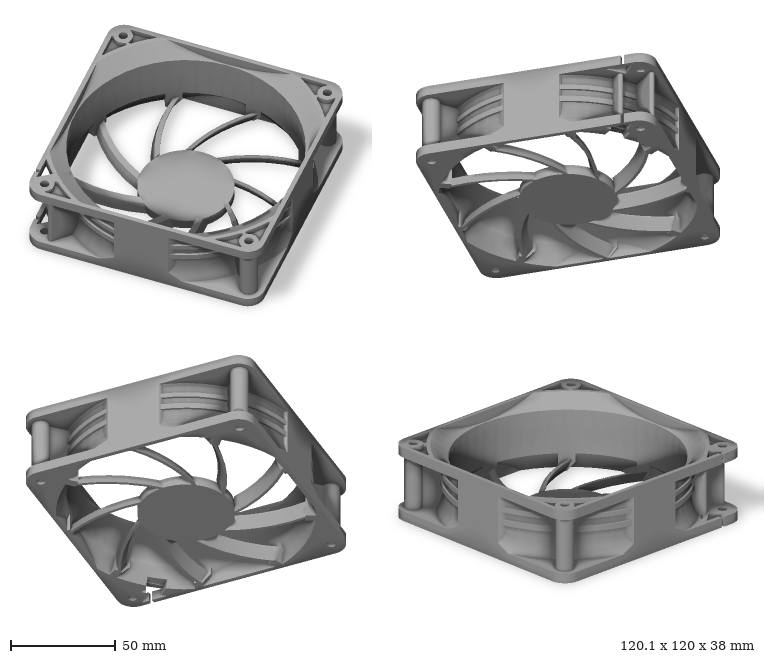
import cadquery as cq
import math

LENGTH_X = 120.1
LENGTH_Y = 120.0
HEIGHT = 38.0
FLANGE = 5.0
CORNER_RADIUS = 8.4
WINDOW_TOP = HEIGHT - FLANGE

BORE_RADIUS = 57.4
BORE_HALF_WIDTH = 57.8
INTAKE_RADIUS = 66.0
INTAKE_DEPTH = 6.0
DUCT_RADIUS = 60.0
DUCT_STEP = 1.0
FLARE_START = 16.1
FLARE_ARC = 19.2
OUTLET_EDGE = 9.2
OUTLET_RADIUS = 62.5
RIB_RADIUS = 61.3
RIB_SPANS = [(18.1, 21.0), (24.9, 27.3)]

COLUMN_HALF_WIDTH = 13.8
COLUMN_DEPTH = 3.6
FLANK_NARROW = 1.8
FLANK_WIDE = 4.7

HOLE_OFFSET = 52.5
HOLE_DIAMETER = 4.5
POST_RADIUS = 4.5
WEB_THICKNESS = 2.3
POCKET_DEPTH = 3.0
POCKET_FILLET = 0.4
POCKET_EDGE = 57.5
POCKET_ARC = 68.0
POCKET_LOW_X = 47.1
POCKET_SIDE = 48.6
HOLE_WALL = 4.7
HOLE_WALL_ANGLES = (192, 153, 114)
CABLE_WEB_THICKNESS = 2.8
CABLE_WEB_ENDS = [(-47.7, -56.6), (-50.8, -41.8)]
CABLE_TRIANGLE = [(-BORE_HALF_WIDTH, -36.8), (-51.2, -44.8), (-BORE_HALF_WIDTH, -49.6)]
CABLE_SLOT_Y = -45.5
CABLE_SLOT_WIDTH = 1.7
CABLE_LEDGE = 1.2
CABLE_RELIEF = (10.8, 9.6)
CABLE_SLIT = (1.2, 9.4)
CABLE_SLIT_RADIUS = 64.4
CABLE_RELIEF_OFFSET = 7.5
CABLE_CORNER_ANGLE = 225

HUB_RADIUS = 23.4
HUB_HEIGHT = 5.0
STRUT_COUNT = 9
STRUT_WIDTH = 4.5
STRUT_HEIGHT = 6.5
STRUT_SHOULDER = (0.5, 5.3)
STRUT_LIP = 0.7
STRUT_FOOT = 1.6
STRUT_ROOT = 1.0
STRUT_PATH = [(21.6, 153.5), (43.0, 127.5), (60.0, 115.1)]

PAD_WIDTH = 8.3
PAD_TOE_HEIGHT = 4.8
PAD_ANGLE = 116.8

CABLE_CORNER = (-1, -1)
CORNERS = [(1, 1), (-1, 1), (1, -1), (-1, -1)]


def polar(radius, degrees):
    angle = math.radians(degrees)
    return (radius * math.cos(angle), radius * math.sin(angle))


def arc_bulge(profile_radius, drop):
    """Radial growth of a flare arc, tangent to the axis, after a given drop."""
    return profile_radius - math.sqrt(profile_radius**2 - drop**2)


def outer_block():
    block = cq.Workplane("XY").box(LENGTH_X, LENGTH_Y, HEIGHT, centered=(True, True, False))
    return block.edges("|Z").fillet(CORNER_RADIUS)


def disc(radius, bottom, top):
    return cq.Workplane("XY").workplane(offset=bottom).circle(radius).extrude(top - bottom)


def round_bar(start, end, width, bottom, top):
    """Upright web with rounded ends between two plan points."""
    dx = end[0] - start[0]
    dy = end[1] - start[1]
    length = math.hypot(dx, dy)
    return (
        cq.Workplane("XY", origin=(0, 0, bottom))
        .center((start[0] + end[0]) / 2, (start[1] + end[1]) / 2)
        .slot2D(length + width, width, math.degrees(math.atan2(dy, dx)))
        .extrude(top - bottom)
    )


def duct_outside():
    mid_drop = (FLARE_START - FLANGE) / 2
    flare_mid = (DUCT_RADIUS + arc_bulge(FLARE_ARC, mid_drop), FLARE_START - mid_drop)
    flare_end = (DUCT_RADIUS + arc_bulge(FLARE_ARC, FLARE_START - FLANGE), FLANGE)
    body = (
        cq.Workplane("XZ")
        .moveTo(0, FLANGE)
        .lineTo(*flare_end)
        .threePointArc(flare_mid, (DUCT_RADIUS, FLARE_START))
        .lineTo(DUCT_RADIUS, WINDOW_TOP - DUCT_STEP)
        .lineTo(DUCT_RADIUS + DUCT_STEP, WINDOW_TOP)
        .lineTo(0, WINDOW_TOP)
        .close()
        .revolve(360, (0, 0, 0), (0, 1, 0))
    )
    for bottom, top in RIB_SPANS:
        body = body.union(disc(RIB_RADIUS, bottom, top))
    return body


def outlet_cone():
    """Flared outlet, interrupted by a solid pad behind every strut."""
    cone = (
        cq.Workplane("XZ")
        .lineTo(OUTLET_RADIUS, 0)
        .lineTo(BORE_RADIUS, OUTLET_EDGE)
        .lineTo(0, OUTLET_EDGE)
        .close()
        .revolve(360, (0, 0, 0), (0, 1, 0))
    )
    half = PAD_WIDTH / 2
    pad = (
        cq.Workplane("YZ")
        .polyline([(half, 0), (half, OUTLET_EDGE), (-half, OUTLET_EDGE), (-half, PAD_TOE_HEIGHT), (0, 0)])
        .close()
        .extrude(OUTLET_RADIUS)
    )
    for index in range(STRUT_COUNT):
        angle = PAD_ANGLE + index * 360 / STRUT_COUNT
        cone = cone.cut(pad.rotate((0, 0, 0), (0, 0, 1), angle))
    return cone


def bore():
    """Air passage: intake cone, straight throat and outlet, trimmed to a square."""
    throat = (
        cq.Workplane("XZ")
        .lineTo(BORE_RADIUS, 0)
        .lineTo(BORE_RADIUS, HEIGHT - INTAKE_DEPTH)
        .lineTo(INTAKE_RADIUS, HEIGHT)
        .lineTo(0, HEIGHT)
        .close()
        .revolve(360, (0, 0, 0), (0, 1, 0))
    )
    width = 2 * BORE_HALF_WIDTH
    square = cq.Workplane("XY").box(width, width, 2 * HEIGHT)
    return throat.union(outlet_cone()).intersect(square)


def columns():
    """Four flat columns, laid out symmetrically about the diagonal through the cable corner."""
    outer = LENGTH_X / 2
    inner = outer - COLUMN_DEPTH
    front = (
        cq.Workplane("XY")
        .polyline([
            (-COLUMN_HALF_WIDTH, -outer),
            (COLUMN_HALF_WIDTH, -outer),
            (COLUMN_HALF_WIDTH + FLANK_WIDE, -inner),
            (-COLUMN_HALF_WIDTH - FLANK_NARROW, -inner),
        ])
        .close()
        .extrude(HEIGHT)
    )
    left = front.mirror("XZ").rotate((0, 0, 0), (0, 0, 1), 90)
    pair = front.union(left)
    return pair.union(pair.rotate((0, 0, 0), (0, 0, 1), 180))


def corner_posts():
    """Screw post and diagonal web at every corner but the cable corner."""
    posts = cq.Workplane("XY")
    for sx, sy in CORNERS:
        if (sx, sy) == CABLE_CORNER:
            continue
        center = (sx * HOLE_OFFSET, sy * HOLE_OFFSET)
        inner = polar(BORE_RADIUS, math.degrees(math.atan2(sy, sx)))
        posts = posts.union(round_bar(inner, center, WEB_THICKNESS, FLANGE, WINDOW_TOP))
        posts = posts.union(disc(POST_RADIUS, FLANGE, WINDOW_TOP).translate((*center, 0)))
    return posts


def cable_webs():
    """Two webs, parallel to the diagonal, that guide the cable."""
    webs = cq.Workplane("XY")
    for x, y in CABLE_WEB_ENDS:
        reach = math.hypot(x, y) - BORE_RADIUS
        inner = (x + reach * math.sqrt(0.5), y + reach * math.sqrt(0.5))
        webs = webs.union(round_bar(inner, (x, y), CABLE_WEB_THICKNESS, FLANGE, WINDOW_TOP))
    return webs


def corner_pocket():
    """Blind triangular pocket beside the screw hole of the +X +Y corner."""
    tip_x = math.sqrt(POCKET_ARC**2 - POCKET_EDGE**2)
    low_y = math.sqrt(POCKET_ARC**2 - POCKET_LOW_X**2)
    arc_mid = polar(POCKET_ARC, math.degrees(math.atan2(POCKET_EDGE + low_y, tip_x + POCKET_LOW_X)))
    wall = []
    for angle in HOLE_WALL_ANGLES:
        x, y = polar(HOLE_WALL, angle)
        wall.append((HOLE_OFFSET + x, HOLE_OFFSET + y))
    return (
        cq.Workplane("XY", origin=(0, 0, HEIGHT - POCKET_DEPTH))
        .moveTo(tip_x, POCKET_EDGE)
        .threePointArc(arc_mid, (POCKET_LOW_X, low_y))
        .lineTo(POCKET_SIDE, low_y)
        .lineTo(*wall[0])
        .threePointArc(wall[1], wall[2])
        .lineTo(wall[2][0], POCKET_EDGE)
        .close()
        .extrude(POCKET_DEPTH)
        .edges("|Z")
        .fillet(POCKET_FILLET)
    )


def pockets():
    beside_y = corner_pocket()
    beside_x = beside_y.mirror("XZ").rotate((0, 0, 0), (0, 0, 1), 90)
    cutter = cq.Workplane("XY")
    for sx, sy in CORNERS:
        for pocket in (beside_y, beside_x):
            if (sx, sy) == CABLE_CORNER and pocket is beside_x:
                continue
            placed = pocket.mirror("YZ") if sx < 0 else pocket
            placed = placed.mirror("XZ") if sy < 0 else placed
            cutter = cutter.union(placed)
    return cutter


def cable_opening():
    """Triangle through both flanges with a slot out to the -X side."""
    triangle = (
        cq.Workplane("XY")
        .polyline(CABLE_TRIANGLE)
        .close()
        .extrude(HEIGHT)
    )
    slot_length = LENGTH_X / 2 - BORE_HALF_WIDTH + 1.2
    slot = (
        cq.Workplane("XY")
        .box(slot_length, CABLE_SLOT_WIDTH, HEIGHT, centered=(False, True, False))
        .translate((-LENGTH_X / 2, CABLE_SLOT_Y, 0))
    )
    return triangle.union(slot)


def cable_relief():
    """Relief from below that leaves a thin ledge, and a slit through that ledge."""
    relief = (
        cq.Workplane("XY")
        .box(*CABLE_RELIEF, FLANGE - CABLE_LEDGE, centered=(False, True, False))
        .translate((BORE_RADIUS, 0, 0))
    )
    slit = (
        cq.Workplane("XY")
        .box(*CABLE_SLIT, FLANGE, centered=(True, True, False))
        .translate((CABLE_SLIT_RADIUS, 0, 0))
    )
    cutter = relief.union(slit).translate((0, -CABLE_RELIEF_OFFSET, 0))
    return cutter.rotate((0, 0, 0), (0, 0, 1), CABLE_CORNER_ANGLE)


def strut():
    """Curved strut with a blade section that leans from its convex foot to its concave top."""
    start, middle, end = [polar(*point) for point in STRUT_PATH]
    path = cq.Workplane("XY").moveTo(*start).threePointArc(middle, end)
    tangent = path.val().tangentAt(0)
    plane = cq.Plane(origin=(*start, 0), xDir=(-tangent.y, tangent.x, 0), normal=tangent.toTuple())
    half = STRUT_WIDTH / 2
    return (
        cq.Workplane(plane)
        .polyline([
            (half, 0),
            STRUT_SHOULDER,
            (-half, STRUT_HEIGHT),
            (-half, STRUT_HEIGHT - STRUT_LIP),
            (half - STRUT_FOOT, 0),
        ])
        .close()
        .sweep(path)
    )


middle = disc(LENGTH_X, FLANGE, WINDOW_TOP)
flanges = outer_block().cut(middle)
frame = flanges.union(duct_outside()).union(columns()).union(corner_posts()).union(cable_webs())
frame = frame.intersect(outer_block())
frame = frame.cut(bore()).cut(pockets()).cut(cable_opening()).cut(cable_relief())

hole_points = [(sx * HOLE_OFFSET, sy * HOLE_OFFSET) for sx, sy in CORNERS]
frame = frame.cut(cq.Workplane("XY").pushPoints(hole_points).circle(HOLE_DIAMETER / 2).extrude(HEIGHT))

strut_space = disc(BORE_RADIUS + STRUT_ROOT, 0, HEIGHT).cut(disc(HUB_RADIUS, 0, HEIGHT))
one_strut = strut().intersect(strut_space)
hub = disc(HUB_RADIUS, 0, HUB_HEIGHT)
for index in range(STRUT_COUNT):
    hub = hub.union(one_strut.rotate((0, 0, 0), (0, 0, 1), index * 360 / STRUT_COUNT))

result = frame.union(hub)